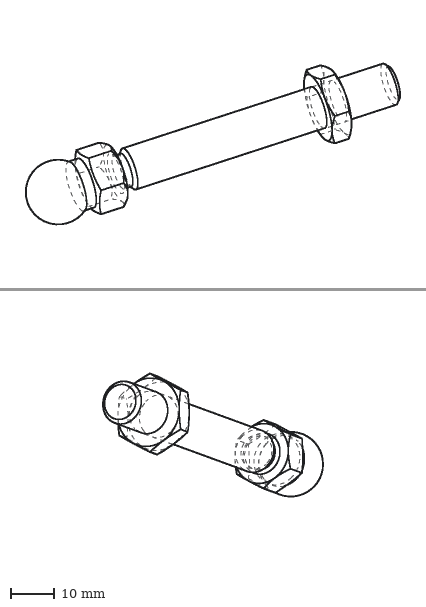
import cadquery as cq
import math

total_length = 92.0
ball_diameter = 15.0
neck_diameter = 12.0
shank_diameter = 10.0
shank_end_chamfer = 0.9

collar_across_flats = 14.0
collar_length = 7.5
ball_tip_to_collar = 14.4
collar_front_bevel_angle = 20.0
collar_back_bevel_angle = 45.0

undercut_diameter = 8.0
undercut_taper = 0.8
undercut_floor_length = 1.75

nut_across_flats = 16.0
nut_thickness = 5.0
nut_to_shank_end = 14.0
nut_bevel_angle = 30.0

ball_radius = ball_diameter / 2
shank_end_y = total_length - ball_radius
collar_front_y = ball_tip_to_collar - ball_radius
collar_back_y = collar_front_y + collar_length
shank_start_y = collar_back_y + 2 * undercut_taper + undercut_floor_length
nut_back_y = shank_end_y - nut_to_shank_end
nut_front_y = nut_back_y - nut_thickness


def revolve_about_y(outline):
    return outline.close().revolve(360, (0, 0, 0), (0, 1, 0))


def beveled_hexagon(across_flats, length, start_y, front_face_radius, front_angle, back_angle):
    """Hexagonal prism along Y, corners up and down, with a conical bevel at each end.

    The front cone starts at front_face_radius, the back cone at the circle inscribed in the hexagon.
    """
    end_y = start_y + length
    inscribed_radius = across_flats / 2
    corner_radius = inscribed_radius / math.cos(math.pi / 6)
    front_depth = (corner_radius - front_face_radius) * math.tan(math.radians(front_angle))
    back_depth = (corner_radius - inscribed_radius) * math.tan(math.radians(back_angle))
    hexagon = (
        cq.Workplane("XZ", origin=(0, start_y, 0))
        .transformed(rotate=(0, 0, 90))
        .polygon(6, 2 * corner_radius)
        .extrude(-length)
    )
    bevel_envelope = revolve_about_y(
        cq.Workplane("XY")
        .moveTo(0, start_y)
        .lineTo(front_face_radius, start_y)
        .lineTo(corner_radius, start_y + front_depth)
        .lineTo(corner_radius, end_y - back_depth)
        .lineTo(inscribed_radius, end_y)
        .lineTo(0, end_y)
    )
    return hexagon.intersect(bevel_envelope)


def make_ball_stud():
    """Ball, neck, hexagonal collar, undercut and shank as one turned piece."""
    neck_radius = neck_diameter / 2
    shank_radius = shank_diameter / 2
    undercut_radius = undercut_diameter / 2
    neck_start_y = math.sqrt(ball_radius**2 - neck_radius**2)
    undercut_floor_y = collar_back_y + undercut_taper
    turned = revolve_about_y(
        cq.Workplane("XY")
        .moveTo(0, -ball_radius)
        .threePointArc((ball_radius, 0), (neck_radius, neck_start_y))
        .lineTo(neck_radius, collar_back_y)
        .lineTo(undercut_radius + undercut_taper, collar_back_y)
        .lineTo(undercut_radius, undercut_floor_y)
        .lineTo(undercut_radius, undercut_floor_y + undercut_floor_length)
        .lineTo(shank_radius, shank_start_y)
        .lineTo(shank_radius, shank_end_y - shank_end_chamfer)
        .lineTo(shank_radius - shank_end_chamfer, shank_end_y)
        .lineTo(0, shank_end_y)
    )
    collar = beveled_hexagon(
        collar_across_flats,
        collar_length,
        collar_front_y,
        neck_radius,
        collar_front_bevel_angle,
        collar_back_bevel_angle,
    )
    return turned.union(collar)


def make_lock_nut():
    """Hexagonal nut whose bore fits the shank."""
    bore = cq.Workplane("XZ", origin=(0, nut_front_y, 0)).circle(shank_diameter / 2).extrude(-nut_thickness)
    blank = beveled_hexagon(
        nut_across_flats,
        nut_thickness,
        nut_front_y,
        nut_across_flats / 2,
        nut_bevel_angle,
        nut_bevel_angle,
    )
    return blank.cut(bore)


ball_stud = make_ball_stud()
lock_nut = make_lock_nut()
result = cq.Compound.makeCompound([ball_stud.val(), lock_nut.val()])